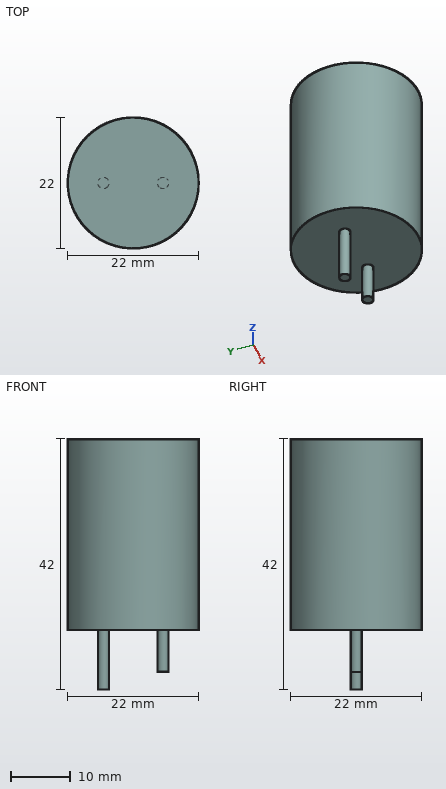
import cadquery as cq

total_height = 42.0
can_diameter = 22.0

lead_diameter = 1.9
lead_pitch = 10.0
long_lead_length = 10.0
short_lead_length = 7.0

can_height = total_height - long_lead_length


def make_can():
    """Plain cylindrical can standing on the plane Z = 0."""
    return cq.Workplane("XY").circle(can_diameter / 2).extrude(can_height)


def make_lead(x, length):
    """Round lead hanging from the underside of the can."""
    return cq.Workplane("XY").center(x, 0).circle(lead_diameter / 2).extrude(-length)


can = make_can()

leads = []
for side, length in [(-1, long_lead_length), (1, short_lead_length)]:
    leads.append(make_lead(side * lead_pitch / 2, length).val())

result = cq.Compound.makeCompound([can.val(), *leads])